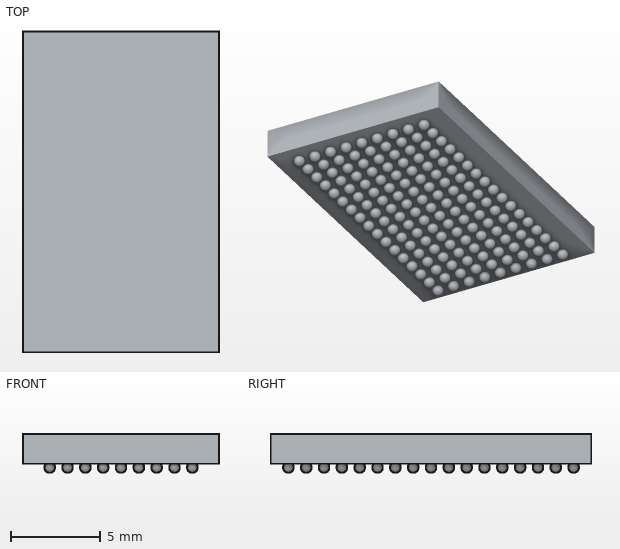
import cadquery as cq

body_length = 18.0
body_width = 11.0
total_height = 2.2
body_height = 1.7

columns = 9
rows = 17
pitch = body_length / (rows + 1)
ball_radius = 0.3
ball_drop = total_height - body_height
ball_center_z = ball_radius - ball_drop


def make_body():
    """Plain rectangular block resting on the Z = 0 plane."""
    return cq.Workplane("XY").box(body_width, body_length, body_height, centered=(True, True, False))


def make_balls():
    """Centred grid of solder balls, each partly sunk into the body underside."""
    return (
        cq.Workplane("XY", origin=(0, 0, ball_center_z))
        .rarray(pitch, pitch, columns, rows)
        .sphere(ball_radius)
    )


result = make_body().union(make_balls())